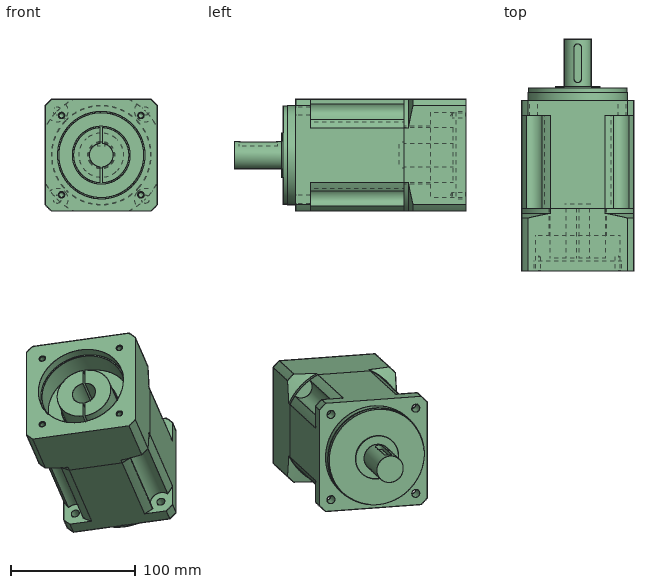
import cadquery as cq
import math

TOTAL_LENGTH = 186.0
ADAPTER_LENGTH = 50.0
GROOVED_LENGTH = 75.0
FLANGE_THICKNESS = 11.9
PILOT_LENGTH = 10.0
PILOT_TIP_LENGTH = 3.7
COLLAR_LENGTH = 1.1

MOTOR_FACE_Y = -TOTAL_LENGTH / 2
SEAM_Y = MOTOR_FACE_Y + ADAPTER_LENGTH
FLANGE_REAR_Y = SEAM_Y + GROOVED_LENGTH
FLANGE_FRONT_Y = FLANGE_REAR_Y + FLANGE_THICKNESS
PILOT_END_Y = FLANGE_FRONT_Y + PILOT_LENGTH
COLLAR_END_Y = PILOT_END_Y + COLLAR_LENGTH
SHAFT_END_Y = TOTAL_LENGTH / 2

SQUARE_WIDTH = 90.0
WIDE_CORNER_RADIUS = 60.0
NARROW_CORNER_RADIUS = 50.0

FLANGE_BOLT_CIRCLE_RADIUS = 50.0
FLANGE_HOLE_DIAMETER = 6.5
GROOVE_RADIUS = 8.7
PILOT_DIAMETER = 80.0
PILOT_TIP_DIAMETER = 79.2
COLLAR_DIAMETER = 35.7
SHAFT_DIAMETER = 22.0
KEYWAY_WIDTH = 6.0
KEYWAY_LENGTH = 31.0
KEYWAY_DEPTH = 3.5
KEYWAY_END_GAP = 3.7

HUB_DIAMETER = 44.3
HUB_RECESS = 10.5
HUB_BORE_DIAMETER = 19.0
HUB_SLIT_WIDTH = 1.7
RELIEF_DIAMETER = 20.8
RELIEF_DEPTH = 3.7

NECK_LENGTH = 3.7
TAPER_LENGTH = 3.7
MOTOR_PILOT_DIAMETER = 70.3
MOTOR_PILOT_DEPTH = 8.0
CHAMBER_DIAMETER = 68.0
CHAMBER_DEPTH = 28.6
HUB_CLEARANCE_DIAMETER = 46.5
MOTOR_BOLT_CIRCLE_RADIUS = 45.0
MOTOR_HOLE_DIAMETER = 4.0
MOTOR_HOLE_DEPTH = 11.2
MOTOR_HOLE_MOUTH_DIAMETER = 5.2
DRILL_POINT_ANGLE = 118.0


def cylinder(diameter, start_y, end_y):
    """Solid cylinder on the main axis between two Y positions."""
    plane = cq.Workplane("XZ", origin=(0, start_y, 0))
    return plane.circle(diameter / 2).extrude(start_y - end_y)


def square_bar(start_y, end_y):
    """Square bar on the main axis between two Y positions."""
    plane = cq.Workplane("XZ", origin=(0, start_y, 0))
    return plane.rect(SQUARE_WIDTH, SQUARE_WIDTH).extrude(start_y - end_y)


def turned_solid(profile):
    """Solid of revolution about the Y axis from (radius, y) points."""
    return cq.Workplane("XY").polyline(profile).close().revolve(360, (0, 0), (0, 1))


def corner_points(bolt_circle_radius):
    """The four (x, z) points on the diagonals at a given distance from the axis."""
    offset = bolt_circle_radius / math.sqrt(2)
    return [(x, z) for x in (-offset, offset) for z in (-offset, offset)]


def corner_cylinders(bolt_circle_radius, diameter, start_y, end_y):
    """Four cylinders parallel to the main axis, one on each diagonal."""
    plane = cq.Workplane("XZ", origin=(0, start_y, 0))
    plane = plane.pushPoints(corner_points(bolt_circle_radius))
    return plane.circle(diameter / 2).extrude(start_y - end_y)


def make_gearbox_block():
    """Flanged block whose grooved corners leave room for the flange bolts."""
    envelope = cylinder(2 * NARROW_CORNER_RADIUS, SEAM_Y, FLANGE_REAR_Y).union(
        cylinder(2 * WIDE_CORNER_RADIUS, FLANGE_REAR_Y, FLANGE_FRONT_Y)
    )
    block = square_bar(SEAM_Y, FLANGE_FRONT_Y).intersect(envelope)
    grooves = corner_cylinders(FLANGE_BOLT_CIRCLE_RADIUS, 2 * GROOVE_RADIUS, SEAM_Y, FLANGE_REAR_Y)
    bolt_holes = corner_cylinders(
        FLANGE_BOLT_CIRCLE_RADIUS, FLANGE_HOLE_DIAMETER, FLANGE_REAR_Y, FLANGE_FRONT_Y
    )
    return block.cut(grooves).cut(bolt_holes)


def make_output_end():
    """Stepped pilot, collar and keyed output shaft."""
    tip_start_y = PILOT_END_Y - PILOT_TIP_LENGTH
    shaft = cylinder(SHAFT_DIAMETER, COLLAR_END_Y, SHAFT_END_Y)
    keyway_floor_z = SHAFT_DIAMETER / 2 - KEYWAY_DEPTH
    keyway_center_y = SHAFT_END_Y - KEYWAY_END_GAP - KEYWAY_LENGTH / 2
    keyway = (
        cq.Workplane("XY", origin=(0, keyway_center_y, keyway_floor_z))
        .slot2D(KEYWAY_LENGTH, KEYWAY_WIDTH, 90)
        .extrude(SHAFT_DIAMETER)
    )
    return (
        cylinder(PILOT_DIAMETER, FLANGE_FRONT_Y, tip_start_y)
        .union(cylinder(PILOT_TIP_DIAMETER, tip_start_y, PILOT_END_Y))
        .union(cylinder(COLLAR_DIAMETER, PILOT_END_Y, COLLAR_END_Y))
        .union(shaft.cut(keyway))
    )


def make_clamping_hub():
    """Bored hub, slit right across in the YZ plane down to the seam."""
    hub_front_y = MOTOR_FACE_Y + HUB_RECESS
    hub_length = SEAM_Y - hub_front_y
    slit = cq.Workplane("XY").box(HUB_SLIT_WIDTH, hub_length, HUB_DIAMETER)
    slit = slit.translate((0, hub_front_y + hub_length / 2, 0))
    hub = cylinder(HUB_DIAMETER, hub_front_y, SEAM_Y)
    return hub.cut(cylinder(HUB_BORE_DIAMETER, hub_front_y, SEAM_Y)).cut(slit)


def make_housing():
    """Gearbox housing with its output shaft and its input hub."""
    relief = cylinder(RELIEF_DIAMETER, SEAM_Y, SEAM_Y + RELIEF_DEPTH)
    block = make_gearbox_block().cut(relief)
    return block.union(make_output_end()).union(make_clamping_hub())


def make_adapter_block():
    """Square block whose turned corners narrow through a taper to the neck."""
    neck_y = SEAM_Y - NECK_LENGTH
    taper_y = neck_y - TAPER_LENGTH
    envelope = turned_solid([
        (0, MOTOR_FACE_Y),
        (WIDE_CORNER_RADIUS, MOTOR_FACE_Y),
        (WIDE_CORNER_RADIUS, taper_y),
        (NARROW_CORNER_RADIUS, neck_y),
        (NARROW_CORNER_RADIUS, SEAM_Y),
        (0, SEAM_Y),
    ])
    return square_bar(MOTOR_FACE_Y, SEAM_Y).intersect(envelope)


def make_motor_hole():
    """Cutter for one countersunk blind hole with a drill point, on the main axis."""
    mouth_radius = MOTOR_HOLE_MOUTH_DIAMETER / 2
    hole_radius = MOTOR_HOLE_DIAMETER / 2
    mouth_depth = mouth_radius - hole_radius
    point_depth = hole_radius / math.tan(math.radians(DRILL_POINT_ANGLE / 2))
    bottom_y = MOTOR_FACE_Y + MOTOR_HOLE_DEPTH
    return turned_solid([
        (0, MOTOR_FACE_Y),
        (mouth_radius, MOTOR_FACE_Y),
        (hole_radius, MOTOR_FACE_Y + mouth_depth),
        (hole_radius, bottom_y),
        (0, bottom_y + point_depth),
    ])


def make_adapter():
    """Motor adapter with a stepped bore around the hub."""
    adapter = make_adapter_block()
    adapter = adapter.cut(cylinder(MOTOR_PILOT_DIAMETER, MOTOR_FACE_Y, MOTOR_FACE_Y + MOTOR_PILOT_DEPTH))
    adapter = adapter.cut(cylinder(CHAMBER_DIAMETER, MOTOR_FACE_Y, MOTOR_FACE_Y + CHAMBER_DEPTH))
    adapter = adapter.cut(cylinder(HUB_CLEARANCE_DIAMETER, MOTOR_FACE_Y, SEAM_Y))
    for x, z in corner_points(MOTOR_BOLT_CIRCLE_RADIUS):
        adapter = adapter.cut(make_motor_hole().translate((x, 0, z)))
    return adapter


housing = make_housing()
adapter = make_adapter()
result = cq.Compound.makeCompound([housing.val(), adapter.val()])